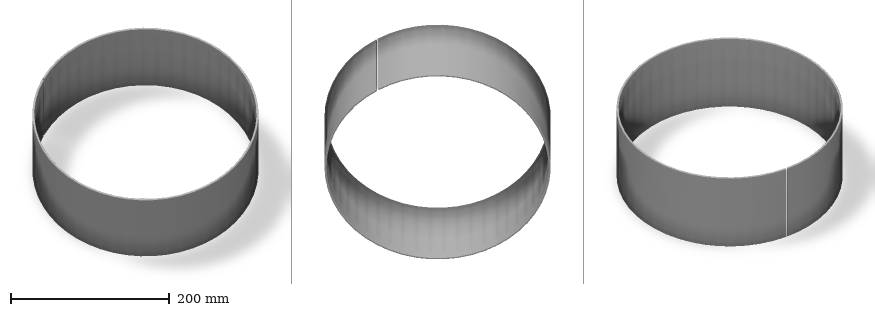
import cadquery as cq

outer_diameter = 285.0
height = 110.0
wall_thickness = 2.7
rim_chamfer = 0.5
slit_width = 2.42

outer_radius = outer_diameter / 2
inner_radius = outer_radius - wall_thickness


def make_band():
    """Thin cylindrical band with the inner and outer rim edges chamfered."""
    ring = cq.Workplane("XY").circle(outer_radius).circle(inner_radius).extrude(height)
    return ring.edges("%CIRCLE").chamfer(rim_chamfer)


def make_slit():
    """Full-height cutter through the -X wall, with one face on the XZ plane."""
    cutter = cq.Workplane("XY").box(outer_radius, slit_width, height, centered=False)
    return cutter.translate((-outer_radius, 0, 0))


result = make_band().cut(make_slit())